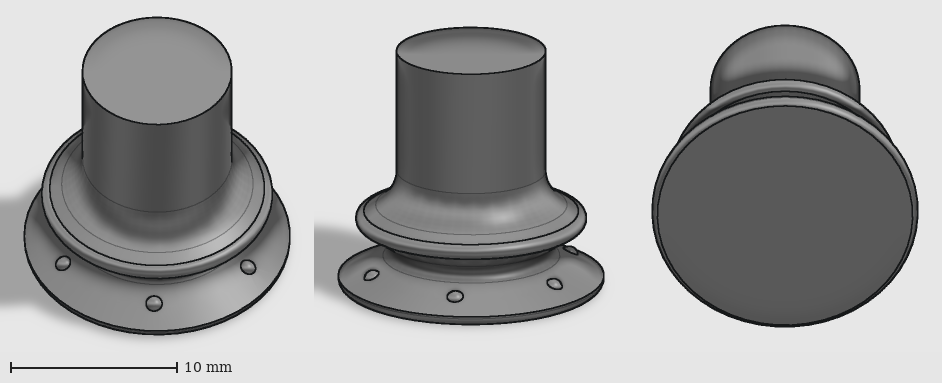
import cadquery as cq
import math

height = 14.82
stem_radius = 4.5
flare_radius = 2.53
flare_start_z = 7.26
shoulder_angle = math.radians(30)

fold_radius = 6.95
fold_edge_radius = 6.46
fold_middle_z = 4.22
fold_bottom_z = 3.76

waist_radius = 5.0
waist_top_radius = 5.23
waist_bottom_radius = 5.33
waist_bottom_z = 1.87
waist_top_z = 2.88

lip_radius = 8.0
lip_foot_radius = 7.68
lip_top_z = 0.6
lip_band_bottom_z = 0.48

bump_count = 6
bump_circle_radius = 6.43
bump_sphere_radius = 0.55
bump_sink = 0.25

flare_centre_r = stem_radius + flare_radius


def flare_point(angle):
    """Point on the concave flare, turned by angle from its tangency with the stem."""
    return (
        flare_centre_r - flare_radius * math.cos(angle),
        flare_start_z - flare_radius * math.sin(angle),
    )


flare_sweep = math.pi / 2 - shoulder_angle
flare_middle = flare_point(flare_sweep / 2)
flare_end = flare_point(flare_sweep)
shoulder_drop = (fold_edge_radius - flare_end[0]) * math.tan(shoulder_angle)
fold_top_z = flare_end[1] - shoulder_drop
waist_middle_z = (waist_bottom_z + waist_top_z) / 2

lip_inset = lip_radius - lip_foot_radius
lip_edge_radius = (lip_inset**2 + lip_band_bottom_z**2) / (2 * lip_inset)
lip_edge_sweep = math.asin(lip_band_bottom_z / lip_edge_radius)
lip_edge_middle = (
    lip_radius - lip_edge_radius * (1 - math.cos(lip_edge_sweep / 2)),
    lip_band_bottom_z - lip_edge_radius * math.sin(lip_edge_sweep / 2),
)

body = (
    cq.Workplane("XZ")
    .moveTo(0, height)
    .lineTo(0, 0)
    .lineTo(lip_foot_radius, 0)
    .threePointArc(lip_edge_middle, (lip_radius, lip_band_bottom_z))
    .lineTo(lip_radius, lip_top_z)
    .lineTo(waist_bottom_radius, waist_bottom_z)
    .threePointArc((waist_radius, waist_middle_z), (waist_top_radius, waist_top_z))
    .lineTo(fold_edge_radius, fold_bottom_z)
    .threePointArc((fold_radius, fold_middle_z), (fold_edge_radius, fold_top_z))
    .lineTo(*flare_end)
    .threePointArc(flare_middle, (stem_radius, flare_start_z))
    .lineTo(stem_radius, height)
    .close()
    .revolve(360, (0, 0, 0), (0, 1, 0))
)

lip_angle = math.atan2(waist_bottom_z - lip_top_z, lip_radius - waist_bottom_radius)
lip_surface_z = lip_top_z + (lip_radius - bump_circle_radius) * math.tan(lip_angle)
bump_centre_r = bump_circle_radius - bump_sink * math.sin(lip_angle)
bump_centre_z = lip_surface_z - bump_sink * math.cos(lip_angle)

bumps = (
    cq.Workplane("XY", origin=(0, 0, bump_centre_z))
    .polarArray(bump_centre_r, 0, 360, bump_count)
    .sphere(bump_sphere_radius)
)

result = body.union(bumps)